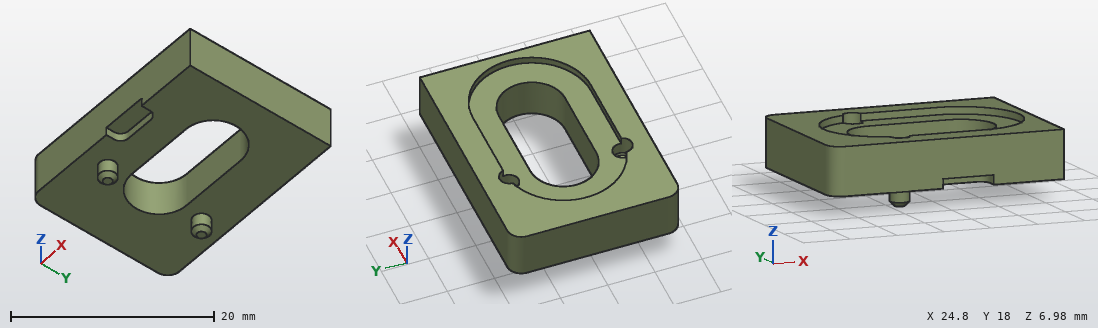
import cadquery as cq

plate_length = 24.8
plate_width = 18.0
plate_thickness = 5.0
corner_radius = 1.5

oval_center_x = 0.97
oval_end_spacing = 8.33
opening_radius = 3.5
recess_radius = 6.25
recess_depth = 0.75

pin_x = -3.9
pin_spacing = 12.0
pin_diameter = 2.0
pin_length = 1.98
pin_chamfer = 0.5
socket_depth = 2.18
socket_floor_chamfer = 0.17

notch_center_x = 2.2
notch_width = 5.4
notch_height = 1.0
notch_depth = 1.98
notch_corner_radius = 1.0

pin_positions = [(pin_x, -pin_spacing / 2), (pin_x, pin_spacing / 2)]


def make_plate():
    """Plate with its bottom at Z = 0 and the two -X corners rounded."""
    plate = cq.Workplane("XY").box(
        plate_length, plate_width, plate_thickness, centered=(True, True, False)
    )
    return plate.edges("|Z and <X").fillet(corner_radius)


def make_oval(end_radius, bottom_z):
    """Oval cutter from bottom_z up to the top of the plate."""
    return (
        cq.Workplane("XY", origin=(oval_center_x, 0, bottom_z))
        .slot2D(oval_end_spacing + 2 * end_radius, 2 * end_radius)
        .extrude(plate_thickness - bottom_z)
    )


def make_pegs(top_z, length, chamfer):
    """Pair of round pegs hanging down from top_z, chamfered at their lower ends."""
    pegs = (
        cq.Workplane("XY", origin=(0, 0, top_z))
        .pushPoints(pin_positions)
        .circle(pin_diameter / 2)
        .extrude(-length)
    )
    return pegs.faces("<Z").chamfer(chamfer)


def make_notch():
    """Notch cutter with rounded inner corners, open to the -Y side and underside."""
    notch = cq.Workplane("XY").box(
        notch_width, notch_depth, notch_height, centered=(True, False, False)
    )
    notch = notch.edges("|Z and >Y").fillet(notch_corner_radius)
    return notch.translate((notch_center_x, -plate_width / 2, 0))


result = (
    make_plate()
    .cut(make_oval(opening_radius, 0))
    .cut(make_oval(recess_radius, plate_thickness - recess_depth))
    .cut(make_pegs(plate_thickness, socket_depth, socket_floor_chamfer))
    .cut(make_notch())
    .union(make_pegs(0, pin_length, pin_chamfer))
)